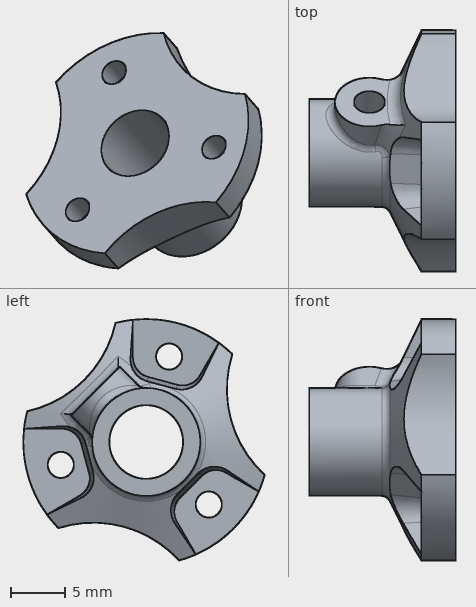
import cadquery as cq
import math

lobe_count = 3
lobe_pitch = 360 / lobe_count
flange_radius = 11.3
rim_thickness = 3.17
hub_length = 13.5
hub_diameter = 9.92
bore_diameter = 6.75
cone_slope = 2.02

scallop_depth_radius = 8.05
scallop_radius = 10.65
first_scallop_angle = 15

first_lobe_angle = first_scallop_angle + lobe_pitch / 2
screw_hole_diameter = 2.38
screw_hole_radius = 8.13
pocket_inner_radius = 5.82
pocket_half_width = 2.82
pocket_depth = 3.7
pocket_flare = 15
pocket_draft = 8
pocket_corner_radius = 1.85
pocket_outer_radius = 13.32

ear_angle = first_scallop_angle + lobe_pitch
ear_top = 6.62
ear_diameter = 6.35
ear_height = 7.95
ear_hole_diameter = 2.85
hub_root_fillet = 0.85
ear_root_fillet = 1.38


def turned(body, angle):
    """Turn a body built along -Y about the X axis to the given angle."""
    return body.rotate((0, 0, 0), (1, 0, 0), -angle)


def make_flange():
    """Rim and full cone as one revolved profile."""
    return (
        cq.Workplane("XY")
        .polyline([
            (0, 0),
            (0, flange_radius),
            (-rim_thickness, flange_radius),
            (-rim_thickness - flange_radius / cone_slope, 0),
        ])
        .close()
        .revolve(360, (0, 0, 0), (1, 0, 0))
    )


def make_ear():
    """Round pad with a flat top, reaching from the axis past the hub wall."""
    ear = cq.Workplane("XZ").center(-ear_height, 0).circle(ear_diameter / 2).extrude(ear_top)
    return turned(ear, ear_angle)


def make_scallop():
    """Cylinder that hollows the flange edge between two lobes."""
    centre = scallop_depth_radius + scallop_radius
    return cq.Workplane("YZ").center(-centre, 0).circle(scallop_radius).extrude(-hub_length)


def make_pocket():
    """Drafted, flared pocket that opens towards -X and past the rim."""
    flare = math.tan(math.radians(pocket_flare))
    outer_half_width = pocket_half_width + (pocket_outer_radius - pocket_inner_radius) * flare
    floor = (
        cq.Sketch()
        .polygon([
            (-pocket_inner_radius, -pocket_half_width),
            (-pocket_inner_radius, pocket_half_width),
            (-pocket_outer_radius, outer_half_width),
            (-pocket_outer_radius, -outer_half_width),
            (-pocket_inner_radius, -pocket_half_width),
        ])
        .vertices(">X")
        .fillet(pocket_corner_radius)
    )
    return (
        cq.Workplane("YZ", origin=(-rim_thickness, 0, 0))
        .placeSketch(floor)
        .extrude(-pocket_depth, taper=-pocket_draft)
    )


def make_screw_hole():
    return (
        cq.Workplane("YZ")
        .center(-screw_hole_radius, 0)
        .circle(screw_hole_diameter / 2)
        .extrude(-rim_thickness)
    )


def make_ear_hole():
    """Radial hole through the ear into the bore."""
    hole = cq.Workplane("XZ").center(-ear_height, 0).circle(ear_hole_diameter / 2).extrude(ear_top)
    return turned(hole, ear_angle)


def is_hub_root(edge):
    """True for the edges on the hub wall, away from its free end."""
    tolerance = 0.002
    return all(
        vertex.X > -hub_length + tolerance
        and abs(math.hypot(vertex.Y, vertex.Z) - hub_diameter / 2) < tolerance
        for vertex in edge.Vertices()
    )


hub = cq.Workplane("YZ").circle(hub_diameter / 2).extrude(-hub_length)
body = make_flange().union(make_ear())
body = body.edges("%BSPLINE or %HYPERBOLA").fillet(ear_root_fillet)
body = body.union(hub).edges().filter(is_hub_root).fillet(hub_root_fillet)

for lobe in range(lobe_count):
    body = body.cut(turned(make_scallop(), first_scallop_angle + lobe * lobe_pitch))
    body = body.cut(turned(make_pocket(), first_lobe_angle + lobe * lobe_pitch))
    body = body.cut(turned(make_screw_hole(), first_lobe_angle + lobe * lobe_pitch))

bore = cq.Workplane("YZ").circle(bore_diameter / 2).extrude(-hub_length)
result = body.cut(bore).cut(make_ear_hole())